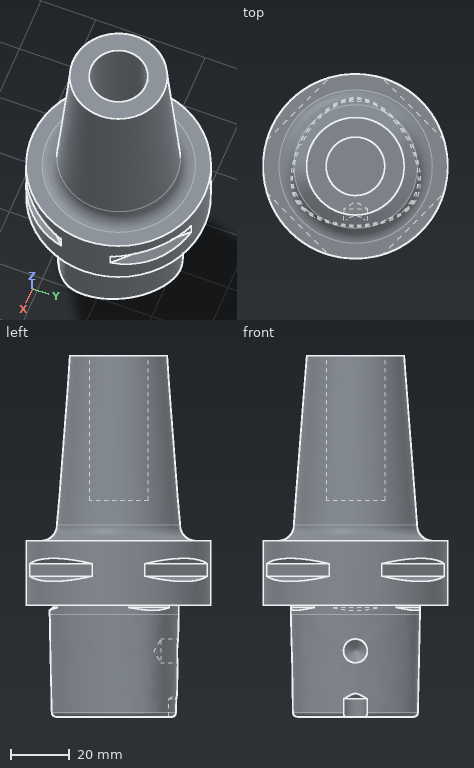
import cadquery as cq
import math

total_height = 123.0
flange_bottom = 38.0
flange_top = 60.0
flange_radius = 31.5

nose_top_radius = 16.6
nose_foot_radius = 21.0
foot_fillet_radius = 5.0
foot_fillet_height = 5.4
bore_radius = 10.0
bore_depth = 49.2

shank_radius = 22.0
shank_bottom_radius = 21.3
lobe_offset = 1.5
neck_height = 3.0
shank_edge_radius = 1.6
profile_points = 72
relief_flange_radius = 22.3
relief_end_radius = 23.6
relief_height = 1.8
relief_land_height = 0.7

slot_count = 4
slot_floor_distance = 27.7
slot_mid_height = 50.0
slot_floor_width = 4.2
slot_mouth_width = 7.9

hole_radius = 4.0
hole_height = 22.5
hole_depth = 6.2
drill_half_angle = math.radians(59)
notch_radius = 4.3
notch_height = 6.2
notch_axis_distance = 21.2


def drill(radius, depth):
    """Drill shape along +Z from the origin, ending in a cone."""
    tip = depth + radius / math.tan(drill_half_angle)
    outline = [(0, 0), (radius, 0), (radius, depth), (0, tip)]
    return cq.Workplane("XZ").polyline(outline).close().revolve(360, (0, 0), (0, 1))


def lobed_wire(mean_radius, height):
    """Rounded three-lobed outline with one lobe pointing along +Y."""
    points = []
    for i in range(profile_points):
        a = math.tau * i / profile_points
        reach = mean_radius - lobe_offset * math.sin(3 * a)
        slope = -3 * lobe_offset * math.cos(3 * a)
        x = reach * math.cos(a) - slope * math.sin(a)
        y = reach * math.sin(a) + slope * math.cos(a)
        points.append(cq.Vector(x, y, height))
    return cq.Wire.assembleEdges([cq.Edge.makeSpline(points, periodic=True)])


def make_shank():
    neck_bottom = flange_bottom - neck_height
    bottom_wire = lobed_wire(shank_bottom_radius, 0)
    neck_wire = lobed_wire(shank_radius, neck_bottom)
    taper = cq.Workplane(cq.Solid.makeLoft([bottom_wire, neck_wire], True))
    taper = taper.faces("<Z").edges().fillet(shank_edge_radius)
    neck = cq.Solid.extrudeLinear(neck_wire, [], cq.Vector(0, 0, neck_height))

    relief_bottom = flange_bottom - relief_height
    envelope = (
        cq.Workplane("XZ")
        .moveTo(0, neck_bottom)
        .lineTo(relief_end_radius, neck_bottom)
        .lineTo(relief_end_radius, relief_bottom)
        .lineTo(relief_flange_radius, flange_bottom - relief_land_height)
        .lineTo(relief_flange_radius, flange_bottom)
        .lineTo(0, flange_bottom)
        .close()
        .revolve(360, (0, 0), (0, 1))
    )
    return taper.union(envelope.intersect(cq.Workplane(neck)))


def make_head():
    fillet_outer = nose_foot_radius + foot_fillet_radius
    fillet_top = flange_top + foot_fillet_height
    diagonal = math.sqrt(0.5)
    fillet_mid = (
        fillet_outer - foot_fillet_radius * diagonal,
        fillet_top - foot_fillet_height * diagonal,
    )
    return (
        cq.Workplane("XZ")
        .moveTo(0, flange_bottom)
        .lineTo(flange_radius, flange_bottom)
        .lineTo(flange_radius, flange_top)
        .lineTo(fillet_outer, flange_top)
        .threePointArc(fillet_mid, (nose_foot_radius, fillet_top))
        .lineTo(nose_top_radius, total_height)
        .lineTo(0, total_height)
        .close()
        .revolve(360, (0, 0), (0, 1))
    )


def make_slot(angle):
    """Slot with a flat floor and walls that flare out to the flange rim."""
    floor_half = slot_floor_width / 2
    mouth_half = slot_mouth_width / 2
    outline = [
        (slot_floor_distance, slot_mid_height - floor_half),
        (flange_radius, slot_mid_height - mouth_half),
        (flange_radius, slot_mid_height + mouth_half),
        (slot_floor_distance, slot_mid_height + floor_half),
    ]
    slot = cq.Workplane("XZ").polyline(outline).close().extrude(flange_radius, both=True)
    return slot.rotate((0, 0, 0), (0, 0, 1), angle)


result = make_head().union(make_shank())

bore = cq.Workplane("XY", origin=(0, 0, total_height - bore_depth)).circle(bore_radius).extrude(bore_depth)
result = result.cut(bore)

slot_pitch = 360 / slot_count
for i in range(slot_count):
    result = result.cut(make_slot(slot_pitch * (i + 0.5)))

flat_distance = shank_radius - lobe_offset
radial_hole = drill(hole_radius, hole_depth).rotate((0, 0, 0), (1, 0, 0), -90)
result = result.cut(radial_hole.translate((0, -flat_distance, hole_height)))

notch = drill(notch_radius, notch_height).translate((0, -notch_axis_distance, 0))
result = result.cut(notch)